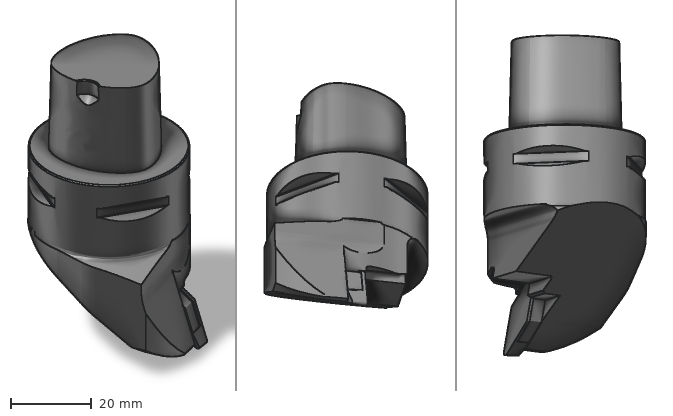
import cadquery as cq
import math


shank_height = 24.0
shank_width = 28.0
shank_eccentricity = 1.0
shank_taper = 1 / 20
keyway_radius = 3.5
keyway_center_y = -14.1
keyway_straight = 4.0
keyway_chamfer = 0.3

flange_radius = 20.0
flange_height = 20.15
flange_chamfer = 0.35
groove_z = -8.0
groove_flat_distance = 17.6
groove_floor_width = 2.5
groove_straight_depth = 0.4
groove_wall_angle = 33.0
groove_overcut = 1.0

arm_radius = 20.2
arm_front_y = -22.0
arm_back_y = 12.1
arm_side_x = 19.4
arm_tangent_angle = 14.0
arm_blend_radius = 16.0
shoulder_angle = 15.0
shoulder_fillet = 1.3
back_fillet = 4.0
underside_start_z = -19.3
underside_corner = (16.7, -42.2)
nose_bottom_z = -48.1
slant_start_z = -27.8
slant_blend_radius = 12.0
nose_corner_x = 20.6
nose_round_start = (25.6, -10.6)
nose_side_x = 26.0
nose_plan_bulge = 0.5
nose_bottom_round_y = -10.8
nose_bottom_bulge = 0.8
ledge_z = -34.0
ledge_fillet = 0.8
neck_y = 1.0
neck_chamfer_height = 0.5
seat_roof_z = -37.3
arm_reach = 60.0

insert_point_angle = 35.0
insert_inscribed_circle = 7.94
insert_thickness = 4.65
insert_corner_radius = 0.8
insert_nose_center = (26.2, -49.2)
insert_clearance_angle = 5.0
lead_angle = 17.5
band_width = 0.9
flank_relief = 0.45
relief_start = 6.6
nose_bevel_length = 3.8
nose_bevel_height = 1.0


def direction_up(angle_from_vertical):
    """Unit vector in XZ, leaning toward -X from +Z by the given angle."""
    angle = math.radians(angle_from_vertical)
    return (-math.sin(angle), math.cos(angle))


def step(point, direction, distance):
    return (point[0] + distance * direction[0], point[1] + distance * direction[1])


def bulged_middle(start, end, bulge):
    """Middle of an arc that bows by `bulge` to the right of start -> end."""
    length = math.dist(start, end)
    along = ((end[0] - start[0]) / length, (end[1] - start[1]) / length)
    center = ((start[0] + end[0]) / 2, (start[1] + end[1]) / 2)
    return step(center, (along[1], -along[0]), bulge)


def xz_prism(sketch, y_low, y_high):
    """Close an outline drawn on the XZ plane and extrude it between two Y values."""
    return sketch.close().extrude(y_high - y_low).translate((0, y_high, 0))


def lobed_point(half_width, angle):
    """Point of a constant-width three-lobed curve whose normal is at `angle`."""
    phase = 3 * (angle - math.pi / 2)
    support = half_width + shank_eccentricity * math.cos(phase)
    slope = -3 * shank_eccentricity * math.sin(phase)
    return (
        support * math.cos(angle) - slope * math.sin(angle),
        support * math.sin(angle) + slope * math.cos(angle),
    )


def lobed_wire(z):
    half_width = shank_width / 2 - z * shank_taper / 2
    sections = 6
    samples = 8
    edges = []
    for i in range(sections):
        angles = [math.radians(60 * (i + k / samples)) for k in range(samples + 1)]
        points = [cq.Vector(*lobed_point(half_width, a), z) for a in angles]
        tangents = [cq.Vector(-math.sin(a), math.cos(a), 0) for a in (angles[0], angles[-1])]
        edges.append(cq.Edge.makeSpline(points, tangents=tangents))
    return cq.Wire.assembleEdges(edges)


def make_keyway():
    """Chamfered drilled recess in the -Y side of the shank top, with a 45 degree conical end."""
    return (
        cq.Workplane("XZ")
        .moveTo(0, 0)
        .lineTo(keyway_radius + keyway_chamfer, 0)
        .lineTo(keyway_radius, -keyway_chamfer)
        .lineTo(keyway_radius, -keyway_straight)
        .lineTo(0, -keyway_straight - keyway_radius)
        .close()
        .revolve(360, (0, 0, 0), (0, 1, 0))
        .translate((0, keyway_center_y, shank_height))
    )


def make_shank():
    loft = cq.Solid.makeLoft([lobed_wire(0), lobed_wire(shank_height)], True)
    return cq.Workplane(loft).cut(make_keyway())


def make_groove():
    """Gripper groove with a square floor and flared walls, running along Y on the +X side."""
    flare_start = groove_flat_distance + groove_straight_depth
    outer = flange_radius + groove_overcut
    half_floor = groove_floor_width / 2
    half_mouth = half_floor + (outer - flare_start) * math.tan(math.radians(groove_wall_angle))
    return (
        cq.Workplane("XZ")
        .moveTo(groove_flat_distance, groove_z - half_floor)
        .lineTo(flare_start, groove_z - half_floor)
        .lineTo(outer, groove_z - half_mouth)
        .lineTo(outer, groove_z + half_mouth)
        .lineTo(flare_start, groove_z + half_floor)
        .lineTo(groove_flat_distance, groove_z + half_floor)
        .close()
        .extrude(flange_radius, both=True)
    )


def make_flange():
    flange = cq.Workplane("XY").circle(flange_radius).extrude(-flange_height)
    flange = flange.faces(">Z").chamfer(flange_chamfer)
    groove = make_groove()
    for angle in (45, 135, 225, 315):
        flange = flange.cut(groove.rotate((0, 0, 0), (0, 0, 1), angle))
    return flange


def make_arm_plan():
    """Arm outline seen along Z: round part, tangent flank, flat front and round nose."""
    angle = math.radians(arm_tangent_angle)
    tangent_point = (-arm_radius * math.sin(angle), -arm_radius * math.cos(angle))
    flank_length = (tangent_point[1] - arm_front_y) / math.sin(angle)
    corner_x = tangent_point[0] + flank_length * math.cos(angle)
    blend_length = arm_blend_radius * math.tan(angle / 2)
    blend_start = (
        corner_x - blend_length * math.cos(angle),
        arm_front_y + blend_length * math.sin(angle),
    )
    nose_corner = (nose_corner_x, arm_front_y)
    seat_y = -insert_thickness
    seat_start = (math.sqrt(arm_radius**2 - seat_y**2), seat_y)
    return (
        cq.Workplane("XY")
        .moveTo(*tangent_point)
        .lineTo(*blend_start)
        .tangentArcPoint((corner_x + blend_length, arm_front_y), relative=False)
        .lineTo(*nose_corner)
        .threePointArc(bulged_middle(nose_corner, nose_round_start, nose_plan_bulge), nose_round_start)
        .lineTo(nose_side_x, seat_y)
        .lineTo(*seat_start)
        .threePointArc((0, arm_radius), tangent_point)
        .close()
        .extrude(-arm_reach)
    )


def make_arm_front():
    """Arm outline seen along Y: sloping underside, pointed nose and slanted side."""
    nose_drop = underside_corner[1] - nose_bottom_z
    lower_angle = math.radians(lead_angle + insert_point_angle)
    lead = math.radians(lead_angle)
    slant_end_x = arm_side_x + (slant_start_z - nose_bottom_z) * math.tan(lead)
    blend_length = slant_blend_radius * math.tan(lead / 2)
    outline = (
        cq.Workplane("XZ")
        .moveTo(-flange_radius, underside_start_z)
        .lineTo(*underside_corner)
        .lineTo(underside_corner[0] + nose_drop * math.tan(lower_angle), nose_bottom_z)
        .lineTo(slant_end_x, nose_bottom_z)
        .lineTo(arm_side_x + blend_length * math.sin(lead), slant_start_z - blend_length * math.cos(lead))
        .tangentArcPoint((arm_side_x, slant_start_z + blend_length), relative=False)
        .lineTo(arm_side_x, underside_start_z)
    )
    return xz_prism(outline, -arm_reach, arm_reach)


def make_arm_side():
    """Arm outline seen along X: back face, ledge, neck and rounded bottom."""
    bottom_start = (arm_front_y, underside_corner[1])
    bottom_end = (nose_bottom_round_y, nose_bottom_z)
    seat_y = -insert_thickness
    return (
        cq.Workplane("YZ")
        .moveTo(arm_front_y, 0)
        .lineTo(*bottom_start)
        .threePointArc(bulged_middle(bottom_start, bottom_end, nose_bottom_bulge), bottom_end)
        .lineTo(seat_y, nose_bottom_z)
        .lineTo(seat_y, seat_roof_z)
        .lineTo(0, seat_roof_z)
        .lineTo(neck_y, seat_roof_z + neck_chamfer_height)
        .lineTo(neck_y, ledge_z - ledge_fillet)
        .tangentArcPoint((neck_y + ledge_fillet, ledge_z), relative=False)
        .lineTo(arm_back_y, ledge_z)
        .lineTo(arm_back_y, -flange_height - back_fillet)
        .tangentArcPoint((arm_back_y + back_fillet, -flange_height), relative=False)
        .lineTo(arm_back_y + back_fillet, 0)
        .close()
        .extrude(arm_reach, both=True)
    )


def make_shoulder_envelope():
    """Room for the arm: flange core and all below it, under a cone filleted at the rim."""
    slope = math.radians(shoulder_angle)
    tangent_length = shoulder_fillet * math.tan((math.pi / 2 - slope) / 2)
    apex_z = -flange_height - tangent_length
    fillet_end = (
        flange_radius + tangent_length * math.cos(slope),
        apex_z - tangent_length * math.sin(slope),
    )
    outer_z = apex_z - (arm_reach - flange_radius) * math.tan(slope)
    return (
        cq.Workplane("XZ")
        .moveTo(0, 0)
        .lineTo(flange_radius, 0)
        .lineTo(flange_radius, -flange_height)
        .tangentArcPoint(fillet_end, relative=False)
        .lineTo(arm_reach, outer_z)
        .lineTo(arm_reach, -arm_reach)
        .lineTo(0, -arm_reach)
        .close()
        .revolve(360, (0, 0, 0), (0, 1, 0))
    )


def make_underside_cutter():
    """Wedge that carries the sloping underside through the flange rim."""
    outline = (
        cq.Workplane("XZ")
        .moveTo(-flange_radius, underside_start_z)
        .lineTo(*underside_corner)
        .lineTo(-flange_radius, underside_corner[1])
    )
    return xz_prism(outline, -arm_reach, arm_reach)


def make_arm():
    arm = make_arm_plan().intersect(make_arm_front())
    arm = arm.intersect(make_arm_side())
    return arm.intersect(make_shoulder_envelope())


right_edge = direction_up(lead_angle)
lower_edge = direction_up(lead_angle + insert_point_angle)
bisector = direction_up(lead_angle + insert_point_angle / 2)
half_point = math.radians(insert_point_angle / 2)
sharp_point = step(insert_nose_center, bisector, -insert_corner_radius / math.sin(half_point))
edge_length = insert_inscribed_circle / math.sin(math.radians(insert_point_angle))


def make_insert_prism(height, taper=0, inset=0):
    """Rhombus with rounded corners, extruded from Y = 0 toward -Y."""
    side = edge_length - 2 * inset / math.sin(2 * half_point)
    point = step(sharp_point, bisector, inset / math.sin(half_point))
    right_corner = step(point, right_edge, side)
    lower_corner = step(point, lower_edge, side)
    rear_corner = step(right_corner, lower_edge, side)
    rhombus = (
        cq.Sketch()
        .polygon([point, right_corner, rear_corner, lower_corner, point])
        .vertices()
        .fillet(insert_corner_radius - inset)
    )
    return cq.Workplane("XZ").placeSketch(rhombus).extrude(height, taper=taper)


def along_bisector(shape, distance):
    """Turn +X of a shape to the insert bisector and start it past the sharp point."""
    tilt = -math.degrees(math.atan2(bisector[1], bisector[0]))
    x, z = step(sharp_point, bisector, distance)
    return shape.rotate((0, 0, 0), (0, 1, 0), tilt).translate((x, 0, z))


def make_flank_relief():
    """Step under the band, all around the insert except at its nose."""
    length = 2 * edge_length
    block = (
        cq.Workplane("XY")
        .moveTo(0, -insert_thickness)
        .lineTo(length, -insert_thickness)
        .lineTo(length, -band_width)
        .lineTo(0, -band_width)
        .close()
        .extrude(edge_length, both=True)
    )
    return along_bisector(block, relief_start).cut(make_insert_prism(insert_thickness, 0, flank_relief))


def make_nose_bevel():
    """Wedge removed from the bottom of the insert nose."""
    bevel = (
        cq.Workplane("XY")
        .moveTo(nose_bevel_length, -insert_thickness)
        .lineTo(-nose_bevel_length, -insert_thickness + 2 * nose_bevel_height)
        .lineTo(-nose_bevel_length, -insert_thickness)
        .close()
        .extrude(insert_inscribed_circle, both=True)
    )
    nose_tip = insert_corner_radius / math.sin(half_point) - insert_corner_radius
    return along_bisector(bevel, nose_tip)


def make_insert():
    insert = make_insert_prism(insert_thickness, insert_clearance_angle)
    return insert.cut(make_flank_relief()).cut(make_nose_bevel())


insert = make_insert()
insert_opening = make_insert_prism(-arm_back_y)

holder = make_flange().cut(make_underside_cutter())
holder = holder.union(make_shank()).union(make_arm())
holder = holder.cut(insert).cut(insert_opening)

result = cq.Compound.makeCompound([holder.solids().val(), insert.solids().val()])